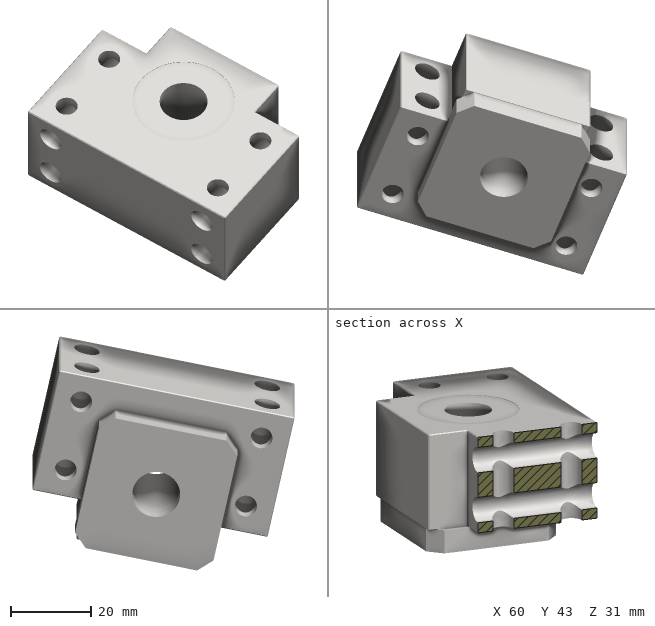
import cadquery as cq

BASE_WIDTH = 60.0
BASE_DEPTH = 32.5
HEAD_WIDTH = 33.0
TOTAL_DEPTH = 43.0
BLOCK_HEIGHT = 25.0
EDGE_CHAMFER = 0.25

PLATE_WIDTH = 35.3
PLATE_THICKNESS = 6.0
PLATE_CORNER_CHAMFER = 3.45

BORE_DIAMETER = 11.95
BORE_Y = 25.0
SEAT_DIAMETER = 25.5
SEAT_DEPTH = 0.1

HOLE_COLUMN_SPACING = 46.0
VERTICAL_HOLE_DIAMETER = 5.5
VERTICAL_HOLE_Y = (7.0, 25.5)
CROSS_HOLE_DIAMETER = 6.5
CROSS_HOLE_HEIGHTS = (6.0, 19.0)

BLOCK_BOTTOM = PLATE_THICKNESS
BLOCK_TOP = BLOCK_BOTTOM + BLOCK_HEIGHT
HOLE_COLUMNS_X = (-HOLE_COLUMN_SPACING / 2, HOLE_COLUMN_SPACING / 2)


def make_sharp_block():
    """T-shaped block before its edges are chamfered."""
    half_base = BASE_WIDTH / 2
    half_head = HEAD_WIDTH / 2
    outline = [
        (-half_base, 0),
        (half_base, 0),
        (half_base, BASE_DEPTH),
        (half_head, BASE_DEPTH),
        (half_head, TOTAL_DEPTH),
        (-half_head, TOTAL_DEPTH),
        (-half_head, BASE_DEPTH),
        (-half_base, BASE_DEPTH),
    ]
    return cq.Workplane("XY", origin=(0, 0, BLOCK_BOTTOM)).polyline(outline).close().extrude(BLOCK_HEIGHT)


def make_plate(thickness):
    """Square plate with cut corners, standing on Z = 0."""
    plate = cq.Workplane("XY", origin=(0, BORE_Y, 0)).rect(PLATE_WIDTH, PLATE_WIDTH).extrude(thickness)
    return plate.edges("|Z").chamfer(PLATE_CORNER_CHAMFER)


def make_block():
    """Block with chamfered outer edges; its bottom edges stay sharp where the plate lies under them."""
    sharp_block = make_sharp_block()
    half_head = HEAD_WIDTH / 2
    inner_corners = cq.selectors.BoxSelector(
        (-half_head - EDGE_CHAMFER, BASE_DEPTH - EDGE_CHAMFER, BLOCK_BOTTOM),
        (half_head + EDGE_CHAMFER, BASE_DEPTH + EDGE_CHAMFER, BLOCK_TOP),
    )
    vertical_edges = cq.StringSyntaxSelector("|Z")
    face_rims = cq.StringSyntaxSelector("#Z")
    chamfered_block = sharp_block.edges((vertical_edges - inner_corners) + face_rims).chamfer(EDGE_CHAMFER)
    sharp_zone = make_plate(PLATE_THICKNESS + EDGE_CHAMFER).intersect(sharp_block)
    return chamfered_block.union(sharp_zone)


def make_bore():
    """Through bore with its shallow seat."""
    bore = cq.Workplane("XY", origin=(0, BORE_Y, 0)).circle(BORE_DIAMETER / 2).extrude(BLOCK_TOP)
    seat = (
        cq.Workplane("XY", origin=(0, BORE_Y, BLOCK_TOP - SEAT_DEPTH))
        .circle(SEAT_DIAMETER / 2)
        .extrude(SEAT_DEPTH)
    )
    return bore.union(seat)


def make_vertical_holes():
    """Four holes through the block along Z."""
    centers = [(x, y) for x in HOLE_COLUMNS_X for y in VERTICAL_HOLE_Y]
    return cq.Workplane("XY").pushPoints(centers).circle(VERTICAL_HOLE_DIAMETER / 2).extrude(BLOCK_TOP)


def make_cross_holes():
    """Four holes through the base along Y."""
    centers = [(x, BLOCK_BOTTOM + height) for x in HOLE_COLUMNS_X for height in CROSS_HOLE_HEIGHTS]
    return cq.Workplane("XZ").pushPoints(centers).circle(CROSS_HOLE_DIAMETER / 2).extrude(-BASE_DEPTH)


result = (
    make_block()
    .union(make_plate(PLATE_THICKNESS))
    .cut(make_bore())
    .cut(make_vertical_holes())
    .cut(make_cross_holes())
)